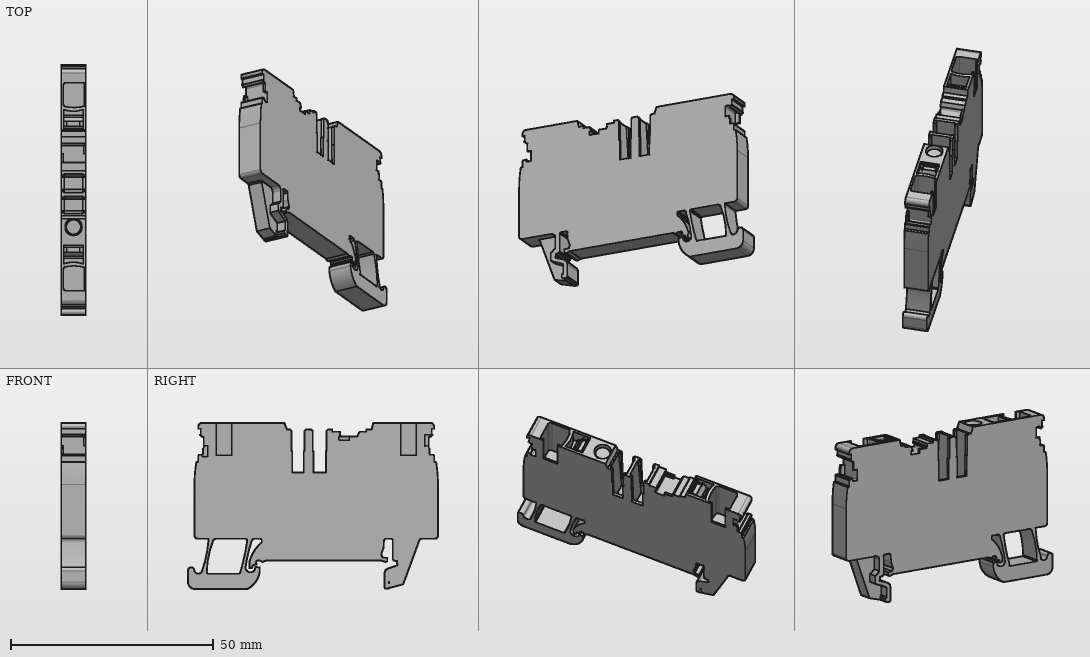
import cadquery as cq

WIDTH = 6.1
HALF_LENGTH = 30.1
TOP = 41.1
UNDERSIDE = 12.45
MID_X = WIDTH / 2

END_BLOCK_LENGTH = 4.0
BOTTOM_ROUND = 0.8
BROW_INSET = 0.95
TOP_ROUND_INSET = 2.0

SLOT_FLOOR = 28.85
SLOT_STEP = 34.1
LOW_TOP = 39.45
LIP_CHAMFER = 0.4
SLOT_WIDENING = 0.16
BRIDGE_SLOTS = [(2.35, -0.65), (-3.1, -5.9)]
SLOT_CHEEK = 0.72
POCKET_FLARE = 0.9
POCKET_FLOOR = 25.5

TAB_THICKNESS = 0.55
GROOVE_ROUND = 0.3
TOP_MARKER_Y = 8.15
TOP_MARKER_HALF = 2.55
TOP_MARKER_FLOOR = 36.8
TOP_MARKER_ROOF = 37.75
END_MARKER_Z = 35.4
END_MARKER_HALF = 2.75
END_MARKER_DEPTH = 3.3
END_MARKER_MOUTH = 2.27
MOUTH_CLEARANCE = 0.3

FUNNEL_INNER = 19.9
FUNNEL_OUTER = 25.7
FUNNEL_BULGE = 0.35
FUNNEL_WALL = 0.55
FUNNEL_SILL_WALL = 0.4
FUNNEL_ROUND = 0.7
FUNNEL_DEPTH = 12.0
FUNNEL_POST = 1.0
FUNNEL_WINDOW_DEPTH = 8.0

RELEASE_X = (0.65, 5.4)
RELEASE_INNER = 14.5
RELEASE_LENGTH = 4.55
RELEASE_DEPTH = 3.6
RELEASE_BOW = 0.4
BAR_LENGTH = 0.45
BAR_DEPTH = 0.4
LEDGE_END = 1.65
LEDGE_DEPTH = 0.9
LEDGE_GAP = 0.75
LEDGE_GAP_DEPTH = 1.6
RAMP_END = 2.65
RAMP_DEPTH = 2.6
STEP_END = 3.15

PROBE_Y = -9.95
PROBE_RADIUS = 2.1
PROBE_FLOOR_RADIUS = 1.8
PROBE_DEPTH = 0.9

WEB_START_X = 2.35


def box(x_range, y_range, z_range):
    """Axis-aligned box between pairs of limits."""
    limits = (x_range, y_range, z_range)
    sizes = [abs(high - low) for low, high in limits]
    middles = [(low + high) / 2 for low, high in limits]
    return cq.Workplane("XY").box(*sizes).translate(tuple(middles))


def prism(outline, x_range=(0, WIDTH)):
    """Extrude a closed (Y, Z) sketch along X."""
    start, end = x_range
    return outline.close().extrude(end - start).translate((start, 0, 0))


def outline_from(y, z):
    return cq.Workplane("YZ").moveTo(y, z)


def polygon(points, x_range=(0, WIDTH)):
    return prism(cq.Workplane("YZ").polyline(points), x_range)


def make_end_block():
    """Stepped and rounded +Y end of the housing."""
    base = HALF_LENGTH - END_BLOCK_LENGTH
    crown = HALF_LENGTH - TOP_ROUND_INSET
    brow = HALF_LENGTH - BROW_INSET
    outline = (
        outline_from(base, UNDERSIDE)
        .lineTo(HALF_LENGTH - BOTTOM_ROUND, UNDERSIDE)
        .radiusArc((HALF_LENGTH, UNDERSIDE + BOTTOM_ROUND), -BOTTOM_ROUND)
        .lineTo(HALF_LENGTH, 25.9)
        .tangentArcPoint((HALF_LENGTH - 0.45, 31.35), relative=False)
    )
    inset_and_height = [
        (BROW_INSET, 31.5),
        (BROW_INSET, 33.0),
        (1.1, 33.2),
        (1.9, 33.2),
        (2.1, 33.4),
        (2.1, 34.7),
        (END_MARKER_MOUTH, 34.9),
        (END_MARKER_MOUTH, 37.5),
        (1.95, 37.6),
        (1.35, 38.1),
        (1.55, 38.2),
        (1.55, 39.6),
        (BROW_INSET, 39.6),
        (BROW_INSET, 40.1),
    ]
    for inset, z in inset_and_height:
        outline = outline.lineTo(HALF_LENGTH - inset, z)
    return prism(outline.threePointArc((brow - 0.25, 40.75), (crown, TOP)).lineTo(base, TOP))


def slot_profile(y_high, y_low):
    """Bridge slot, from its +Y lip down, across the floor and up to its -Y lip."""
    half = [
        (LIP_CHAMFER + SLOT_WIDENING, LOW_TOP),
        (SLOT_WIDENING, LOW_TOP - LIP_CHAMFER),
        (SLOT_WIDENING, SLOT_STEP),
        (0, SLOT_STEP),
    ]
    down = [(y_high + offset, z) for offset, z in half]
    up = [(y_low - offset, z) for offset, z in reversed(half)]
    return down + [(y_high, SLOT_FLOOR), (y_low, SLOT_FLOOR)] + up


def make_housing():
    top_steps = [
        (14.05, TOP),
        (13.65, LOW_TOP),
        (12.35, LOW_TOP),
        (12.35, 38.9),
        (10.7, 38.9),
        (10.1, TOP_MARKER_ROOF),
        (6.05, TOP_MARKER_ROOF),
        (5.9, 38.2),
        (5.9, 38.9),
        (4.0, 38.9),
        (4.0, LOW_TOP),
    ]
    slots = [point for slot in BRIDGE_SLOTS for point in slot_profile(*slot)]
    far_steps = [(-7.2, LOW_TOP), (-7.85, TOP)]
    base = HALF_LENGTH - END_BLOCK_LENGTH
    near_end = [(base, UNDERSIDE), (base, TOP)]
    far_end = [(-base, TOP), (-base, UNDERSIDE)]
    middle = polygon(near_end + top_steps + slots + far_steps + far_end)
    end_block = make_end_block()
    return middle.union(end_block).union(end_block.mirror("XZ"))


def make_rail_seat():
    """Block resting on the mounting rail, with a hooked tip at the fixed foot."""
    seat_z = 7.05
    outline = outline_from(17.05, UNDERSIDE)
    for point in [
        (16.75, 12.05), (16.65, 10.2), (16.05, 8.6), (16.4, 7.85), (17.55, 7.75),
        (17.55, 6.9), (17.0, 6.7), (16.05, seat_z),
        (-12.35, seat_z), (-13.2, 6.7), (-13.9, seat_z), (-14.65, seat_z),
        (-14.9, 6.6), (-14.65, 6.1), (-15.6, 5.9), (-15.9, 5.2), (-16.5, 5.2), (-16.55, 6.75),
    ]:
        outline = outline.lineTo(*point)
    outline = outline.threePointArc((-15.5, 9.2), (-13.5, 11.55))
    return prism(outline.lineTo(-13.5, 12.2).lineTo(-13.8, UNDERSIDE))


def make_clip():
    """Springy latch strip for the +Y rail edge, stiffened by a recessed web."""
    strip = outline_from(21.35, UNDERSIDE).threePointArc((20.5, 12.1), (20.15, 11.5))
    for point in [
        (20.15, 8.45), (20.85, 7.75), (21.4, 7.4), (21.4, 5.45), (20.9, 5.15), (18.4, 4.2),
        (17.95, 3.9), (17.95, 1.5), (18.35, 1.15), (18.35, 0.55), (17.9, 0.15),
        (17.0, 0.15), (16.8, 0.55), (16.8, 3.75),
    ]:
        strip = strip.lineTo(*point)
    strip = strip.threePointArc((17.05, 4.55), (17.65, 5.1))
    for point in [
        (19.95, 5.9), (20.1, 6.15), (19.85, 6.45), (19.95, 6.9), (19.2, 7.05),
        (18.85, 7.4), (18.85, 12.2), (18.6, UNDERSIDE),
    ]:
        strip = strip.lineTo(*point)

    web_points = [
        (25.85, UNDERSIDE), (25.5, 12.1), (21.5, 1.2), (18.25, 0.3),
        (17.5, 4.2), (21.0, 5.8), (19.5, 8.0), (19.5, UNDERSIDE),
    ]
    web = polygon(web_points, (WEB_START_X, WIDTH))
    return prism(strip).union(web)


def make_fixed_foot():
    """Foot hung on two slanted legs, hooking under the -Y rail edge."""
    outline = (
        outline_from(-15.5, UNDERSIDE)
        .lineTo(-15.9, 12.0)
        .threePointArc((-16.75, 9.0), (-17.45, 5.35))
        .threePointArc((-16.4, 4.2), (-15.15, 4.9))
        .lineTo(-15.05, 5.5)
        .lineTo(-14.0, 5.45)
        .lineTo(-13.9, 4.45)
        .threePointArc((-14.85, 1.95), (-17.0, 0))
        .lineTo(-29.9, 0)
        .threePointArc((-31.17, 0.53), (-31.7, 1.8))
        .lineTo(-31.7, 4.6)
        .threePointArc((-30.9, 5.4), (-30.1, 4.75))
        .threePointArc((-29.1, 3.85), (-28.3, 4.3))
        .threePointArc((-27.1, 8.6), (-26.65, 12.0))
        .lineTo(-26.65, UNDERSIDE)
    )
    window = (
        outline_from(-17.35, UNDERSIDE)
        .lineTo(-24.9, UNDERSIDE)
        .lineTo(-25.4, 12.1)
        .threePointArc((-26.6, 8.0), (-27.0, 4.1))
        .lineTo(-26.8, 3.85)
        .lineTo(-19.0, 3.85)
        .lineTo(-18.8, 4.1)
        .threePointArc((-17.7, 8.4), (-17.05, 12.1))
    )
    return prism(outline).cut(prism(window))


def bridge_pocket(y_high, y_low):
    """Flared widening of a bridge slot between its two side cheeks, sunk below its floor."""
    points = [
        (y_high + POCKET_FLARE, TOP),
        (y_high, POCKET_FLOOR),
        (y_low, POCKET_FLOOR),
        (y_low - POCKET_FLARE, TOP),
    ]
    return polygon(points, (SLOT_CHEEK, WIDTH - SLOT_CHEEK))


def marker_groove(y_range, z_range, split):
    """Groove across the part; each side keeps a tab on half of its length.

    split gives the (Y, Z) limits left open on the -X side and on the +X side.
    """
    groove = box((0, WIDTH), y_range, z_range).edges("|X").fillet(GROOVE_ROUND)
    open_near, open_far = split
    middle = groove.intersect(box((TAB_THICKNESS, WIDTH - TAB_THICKNESS), y_range, z_range))
    near = groove.intersect(box((0, TAB_THICKNESS), *open_near))
    far = groove.intersect(box((WIDTH - TAB_THICKNESS, WIDTH), *open_far))
    return middle.union(near).union(far)


def top_marker_groove():
    low = TOP_MARKER_Y - TOP_MARKER_HALF
    high = TOP_MARKER_Y + TOP_MARKER_HALF
    z_range = (TOP_MARKER_FLOOR, TOP_MARKER_ROOF)
    split = (((TOP_MARKER_Y, high), z_range), ((low, TOP_MARKER_Y), z_range))
    return marker_groove((low, high), z_range, split)


def end_marker_groove(side):
    low = END_MARKER_Z - END_MARKER_HALF
    high = END_MARKER_Z + END_MARKER_HALF
    bottom = HALF_LENGTH - END_MARKER_DEPTH
    mouth = HALF_LENGTH - END_MARKER_MOUTH + MOUTH_CLEARANCE
    y_range = sorted((side * bottom, side * mouth))
    lower = (y_range, (low, END_MARKER_Z))
    upper = (y_range, (END_MARKER_Z, high))
    split = (lower, upper) if side > 0 else (upper, lower)
    return marker_groove(y_range, (low, high), split)


def wire_funnel(side):
    """Wire entry with a bowed inner wall and a window through the +X side."""
    far_x = WIDTH - FUNNEL_SILL_WALL
    y_inner = side * FUNNEL_INNER
    y_outer = side * FUNNEL_OUTER
    bow_x = (FUNNEL_WALL + far_x) / 2

    shaft = (
        cq.Workplane("XY", origin=(0, 0, TOP - FUNNEL_DEPTH))
        .moveTo(FUNNEL_WALL, y_inner)
        .threePointArc((bow_x, y_inner - side * FUNNEL_BULGE), (far_x, y_inner))
        .lineTo(far_x, y_outer)
        .lineTo(FUNNEL_WALL, y_outer)
        .close()
        .extrude(FUNNEL_DEPTH)
        .edges("|Z and <X")
        .fillet(FUNNEL_ROUND)
    )
    window_y = sorted((side * (FUNNEL_INNER + FUNNEL_POST), side * (FUNNEL_OUTER - FUNNEL_POST)))
    window = box((MID_X, WIDTH), window_y, (TOP - FUNNEL_WINDOW_DEPTH, TOP))
    return shaft.union(window)


def release_pocket(side):
    """Screwdriver pocket stepping and sloping down from a shallow bar to a bowed outer wall."""
    distance_and_depth = [
        (0, 0),
        (0, BAR_DEPTH),
        (BAR_LENGTH, BAR_DEPTH),
        (BAR_LENGTH, LEDGE_DEPTH),
        (LEDGE_END, LEDGE_DEPTH),
        (RAMP_END, RAMP_DEPTH),
        (STEP_END, RAMP_DEPTH),
        (STEP_END, RELEASE_DEPTH),
        (RELEASE_LENGTH, RELEASE_DEPTH),
        (RELEASE_LENGTH, 0),
    ]
    stepped = polygon(
        [(side * (RELEASE_INNER + distance), TOP - depth) for distance, depth in distance_and_depth],
        RELEASE_X,
    )
    x_low, x_high = RELEASE_X
    y_inner = side * RELEASE_INNER
    y_outer = side * (RELEASE_INNER + RELEASE_LENGTH)
    mouth = (
        cq.Workplane("XY", origin=(0, 0, TOP - RELEASE_DEPTH))
        .moveTo(x_low, y_inner)
        .lineTo(x_low, y_outer)
        .threePointArc(((x_low + x_high) / 2, y_outer - side * RELEASE_BOW), (x_high, y_outer))
        .lineTo(x_high, y_inner)
        .close()
        .extrude(RELEASE_DEPTH)
    )
    pocket = stepped.intersect(mouth)
    gap_y = sorted((y_inner + side * BAR_LENGTH, y_inner + side * LEDGE_END))
    for gap_x in ((x_low, x_low + LEDGE_GAP), (x_high - LEDGE_GAP, x_high)):
        pocket = pocket.union(box(gap_x, gap_y, (TOP - LEDGE_GAP_DEPTH, TOP)))
    return pocket


def probe_hole():
    return (
        cq.Workplane("XY", origin=(MID_X, PROBE_Y, TOP - PROBE_DEPTH))
        .circle(PROBE_FLOOR_RADIUS)
        .workplane(offset=PROBE_DEPTH)
        .circle(PROBE_RADIUS)
        .loft()
    )


result = make_housing().union(make_rail_seat()).union(make_clip()).union(make_fixed_foot())
for slot in BRIDGE_SLOTS:
    result = result.cut(bridge_pocket(*slot))
for side in (1, -1):
    result = result.cut(end_marker_groove(side)).cut(wire_funnel(side)).cut(release_pocket(side))
result = result.cut(top_marker_groove()).cut(probe_hole())